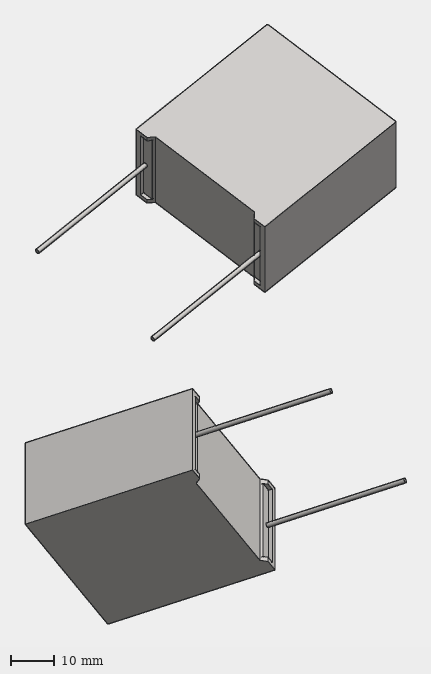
import cadquery as cq

width = 41.8
depth = 44.0
height = 24.3
total_length = 79.1
back_rounding = 0.5

relief_depth = 1.5
foot_width = 3.55
foot_root_width = 4.8

side_wall = 1.5
flange_wall = 1.3
window_width = 2.85
fill_recess = 0.95

front_wall = 1.5
back_wall = side_wall

lead_diameter = 1.2
lead_pitch = 37.4

cavity_width = width - 2 * side_wall
cavity_height = height - 2 * flange_wall
cavity_front = relief_depth + front_wall
cavity_back = depth - back_wall
window_x = cavity_width / 2 - window_width / 2


def block(x_size, z_size, y_start, y_end, x_centre=0):
    """Box centred on Z that spans y_start to y_end."""
    y_size = y_end - y_start
    return cq.Workplane("XY").box(x_size, y_size, z_size).translate((x_centre, y_start + y_size / 2, 0))


def filled_space(pad_front):
    """Main cavity volume with a pad through each window, reaching forward to pad_front."""
    space = block(cavity_width, cavity_height, cavity_front, cavity_back)
    for side in (-1, 1):
        space = space.union(block(window_width, cavity_height, pad_front, cavity_front, side * window_x))
    return space


def make_case():
    """Rounded-back case with a sloped front relief, hollowed for the filling."""
    shell = block(width, height, 0, depth).faces(">Y").edges().fillet(back_rounding)
    foot_x = width / 2 - foot_width
    root_x = width / 2 - foot_root_width
    relief = (
        cq.Workplane("XY")
        .polyline([(-foot_x, 0), (-root_x, relief_depth), (root_x, relief_depth), (foot_x, 0)])
        .close()
        .extrude(height / 2, both=True)
    )
    return shell.cut(relief).cut(filled_space(pad_front=0))


def make_filling():
    """Resin that fills the case and stops just below the ends of the feet."""
    return filled_space(pad_front=fill_recess)


def make_lead(x_centre):
    """Straight round wire that starts on the filling surface and points toward -Y."""
    lead_tip = depth - total_length
    return (
        cq.Workplane("XZ", origin=(x_centre, fill_recess, 0))
        .circle(lead_diameter / 2)
        .extrude(fill_recess - lead_tip)
    )


case = make_case()
filling = make_filling()
leads = [make_lead(side * lead_pitch / 2) for side in (-1, 1)]

result = cq.Compound.makeCompound([case.val(), filling.val(), *[lead.val() for lead in leads]])